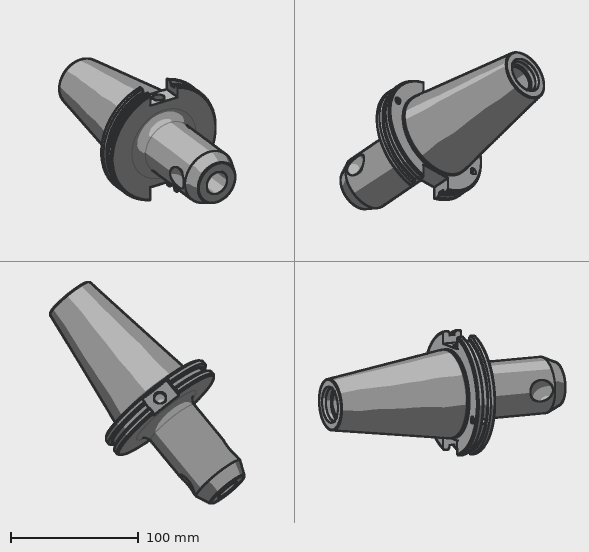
import cadquery as cq
import math

length = 196.9
flange_radius = 98.0 / 2
shank_radius = 44.5 / 2

taper_end_radius = 20.3
taper_length = 101.5
gauge_radius = 69.9 / 2
taper_edge = 0.5
relief_radius = 69.3 / 2
relief_start = 102.5
relief_end = 103.8

flange_start = 104.5
flange_end = 120.5
flange_edge = 1.2
groove_middle = 112.6
groove_floor_radius = 45.7
groove_floor_width = 4.3
groove_mouth_width = 7.0
groove_lip_radius = 47.3

fillet_radius = 7.7
nose_start = 185.3
nose_radius = 17.5
nose_edge = 0.5

entry_radius = 28.4 / 2
counterbore_radius = 26.2 / 2
entry_depth = 2.8
counterbore_depth = 7.0
thread_mouth_radius = 22.0 / 2
thread_radius = 21.5 / 2
thread_depth = 39.4
bore_radius = 19.1 / 2

slot_width = 25.5
upper_slot_floor = 37.6
lower_slot_floor = 35.2
drive_hole_diameter = 9.5
drive_hole_depth = 5.0
drill_point_angle = 118.0

coolant_circle_radius = 42.0
coolant_angle = 19.8
coolant_diameter = 3.2
coolant_mouth_diameter = 5.0
coolant_mouth_depth = 1.0
coolant_tilt = 33.0
coolant_outlet_diameter = 4.1

dimple_x = 173.5
dimple_width = 19.7
dimple_sphere_radius = 11.6


def outer_body():
    """Solid of revolution with the taper, grooved flange and shank."""
    mouth_left = groove_middle - groove_mouth_width / 2
    mouth_right = groove_middle + groove_mouth_width / 2
    floor_left = groove_middle - groove_floor_width / 2
    floor_right = groove_middle + groove_floor_width / 2
    fillet_x = flange_end + fillet_radius
    fillet_y = shank_radius + fillet_radius
    fillet_reach = fillet_radius * math.sqrt(0.5)
    profile = (
        cq.Workplane("XY")
        .lineTo(0, taper_end_radius - taper_edge)
        .lineTo(taper_edge, taper_end_radius)
        .lineTo(taper_length, gauge_radius)
        .lineTo(relief_start, gauge_radius)
        .lineTo(relief_start, relief_radius)
        .lineTo(relief_end, relief_radius)
        .lineTo(relief_end, gauge_radius)
        .lineTo(flange_start, gauge_radius)
        .lineTo(flange_start, flange_radius - flange_edge)
        .lineTo(flange_start + flange_edge, flange_radius)
        .lineTo(mouth_left, flange_radius)
        .lineTo(floor_left, groove_lip_radius)
        .lineTo(floor_left, groove_floor_radius)
        .lineTo(floor_right, groove_floor_radius)
        .lineTo(floor_right, groove_lip_radius)
        .lineTo(mouth_right, flange_radius)
        .lineTo(flange_end - flange_edge, flange_radius)
        .lineTo(flange_end, flange_radius - flange_edge)
        .lineTo(flange_end, fillet_y)
        .threePointArc(
            (fillet_x - fillet_reach, fillet_y - fillet_reach),
            (fillet_x, shank_radius),
        )
        .lineTo(nose_start, shank_radius)
        .lineTo(length - nose_edge, nose_radius)
        .lineTo(length, nose_radius - nose_edge)
        .lineTo(length, 0)
        .close()
    )
    return profile.revolve(360, (0, 0, 0), (1, 0, 0))


def stepped_bore():
    """Through bore with a countersunk counterbore and a thread at the taper end."""
    thread_start = counterbore_depth + thread_mouth_radius - thread_radius
    profile = (
        cq.Workplane("XY")
        .lineTo(0, entry_radius)
        .lineTo(entry_depth, counterbore_radius)
        .lineTo(counterbore_depth, counterbore_radius)
        .lineTo(counterbore_depth, thread_mouth_radius)
        .lineTo(thread_start, thread_radius)
        .lineTo(thread_depth, thread_radius)
        .lineTo(thread_depth, bore_radius)
        .lineTo(length, bore_radius)
        .lineTo(length, 0)
        .close()
    )
    return profile.revolve(360, (0, 0, 0), (1, 0, 0))


def drive_slot(floor, side):
    """Slot across the flange; side is +1 for the top and -1 for the bottom."""
    slot_height = flange_radius - floor
    return cq.Workplane("XY").box(
        flange_end - flange_start, slot_width, slot_height
    ).translate(((flange_start + flange_end) / 2, 0, side * (floor + slot_height / 2)))


def drive_hole():
    """Drilled hole with a conical bottom in the floor of the upper slot."""
    radius = drive_hole_diameter / 2
    point_depth = radius / math.tan(math.radians(drill_point_angle / 2))
    profile = (
        cq.Workplane("XZ")
        .lineTo(radius, 0)
        .lineTo(radius, -drive_hole_depth)
        .lineTo(0, -drive_hole_depth - point_depth)
        .close()
    )
    return profile.revolve(360, (0, 0, 0), (0, 1, 0)).translate(
        (groove_middle, 0, upper_slot_floor)
    )


def coolant_hole(angle):
    """Stepped hole tilted inward from the flange face to meet a radial outlet in the groove."""
    tilt = math.radians(coolant_tilt)
    run = groove_middle - flange_start
    meeting_radius = coolant_circle_radius - run * math.tan(tilt)
    inner_length = run / math.cos(tilt)
    mouth_overrun = coolant_mouth_diameter
    tilted = (
        cq.Workplane("YZ")
        .circle(coolant_diameter / 2)
        .extrude(inner_length)
        .union(
            cq.Workplane("YZ", origin=(-mouth_overrun, 0, 0))
            .circle(coolant_mouth_diameter / 2)
            .extrude(mouth_overrun + coolant_mouth_depth)
        )
        .rotate((0, 0, 0), (0, 0, 1), -coolant_tilt)
        .translate((flange_start, coolant_circle_radius, 0))
    )
    outlet = (
        cq.Workplane("XZ", origin=(groove_middle, meeting_radius, 0))
        .circle(coolant_outlet_diameter / 2)
        .extrude(meeting_radius - flange_radius)
    )
    return tilted.union(outlet).rotate((0, 0, 0), (1, 0, 0), angle)


def dimple(side):
    """Sphere that cuts a shallow dimple in the side of the shank."""
    center_rise = math.sqrt(dimple_sphere_radius**2 - (dimple_width / 2) ** 2)
    return cq.Workplane("XY").sphere(dimple_sphere_radius).translate(
        (dimple_x, side * (shank_radius + center_rise), 0)
    )


result = outer_body().cut(stepped_bore())
result = result.cut(drive_slot(upper_slot_floor, 1)).cut(drive_slot(lower_slot_floor, -1))
result = result.cut(drive_hole())
for opposite in (0, 180):
    result = result.cut(coolant_hole(coolant_angle + opposite))
for side in (-1, 1):
    result = result.cut(dimple(side))